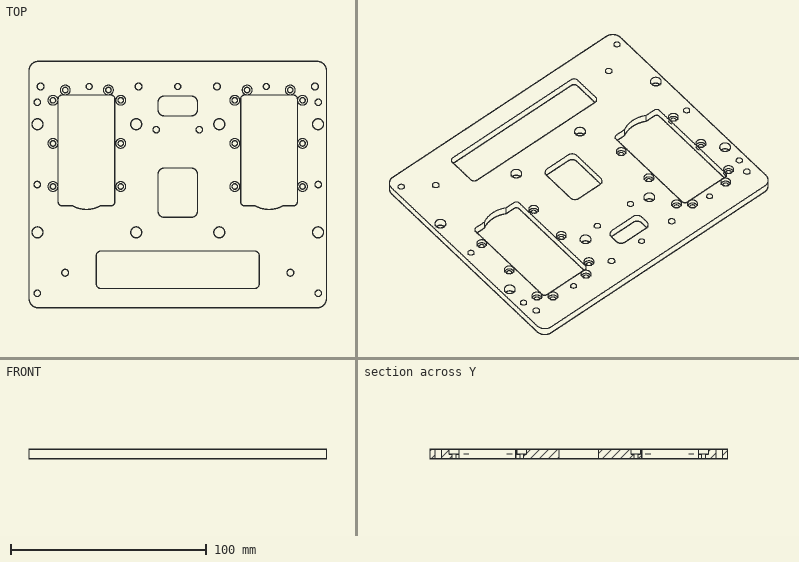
import cadquery as cq

PLATE_X = 152.0
PLATE_Y = 126.0
PLATE_Z = 5.0
PLATE_CORNER_R = 5.0

SMALL_WINDOW = (20.0, 10.0, 40.1, 3.0)
MIDDLE_WINDOW = (20.0, 25.0, -4.15, 3.0)
WIDE_WINDOW = (83.0, 19.0, -43.5, 2.2)

SIDE_X = 46.6
SIDE_WIDTH = 28.8
SIDE_TOP_Y = 45.6
SIDE_BOTTOM_Y = -10.75
SIDE_CORNER_R = 1.8
RELIEF_DEPTH = 1.9
RELIEF_WIDTH = 14.4

SCREW_D = 2.7
SCREW_HEAD_D = 5.0
SCREW_HEAD_DEPTH = 2.5
SCREW_GROUP_X = 46.4
SCREW_PITCH = 22.0
SCREW_COLUMN_OFFSET = 17.3
SCREW_LOWEST_Y = -1.0
SCREW_TOP_ROW_Y = 48.25

MOUNT_D = 5.5
MOUNT_COLUMNS_X = (21.2, 71.6)
MOUNT_ROWS_Y = (-24.4, 30.8)

TOP_ROW_Y = 50.05
TOP_ROW_LARGE_D = 3.4
TOP_ROW_LARGE_X = (20.0, 70.0)
TOP_ROW_SMALL_D = 3.0
TOP_ROW_SMALL_X = 45.2

LOWER_PAIR_D = 3.4
LOWER_PAIR_X = 57.5
LOWER_PAIR_Y = -45.0

EDGE_D = 3.2
EDGE_X = 71.7
EDGE_ROWS_Y = (-55.5, 0.0, 42.0)

INNER_PAIR_D = 3.2
INNER_PAIR_X = 11.0
INNER_PAIR_Y = 28.0


def both_sides(points):
    """Return the points together with their mirror images about X = 0."""
    return [(side * x, y) for side in (-1, 1) for x, y in points]


def rounded_window(width, height, centre_y, corner_r):
    """Through-cutter for a rounded rectangular opening on the centreline."""
    return (
        cq.Workplane("XY")
        .center(0, centre_y)
        .rect(width, height)
        .extrude(PLATE_Z)
        .edges("|Z")
        .fillet(corner_r)
    )


def side_window(centre_x):
    """Through-cutter for a side opening with a shallow arched relief in its lower edge."""
    height = SIDE_TOP_Y - SIDE_BOTTOM_Y
    window = (
        cq.Workplane("XY")
        .center(centre_x, SIDE_BOTTOM_Y + height / 2)
        .rect(SIDE_WIDTH, height)
        .extrude(PLATE_Z)
        .edges("|Z")
        .fillet(SIDE_CORNER_R)
    )
    relief = (
        cq.Workplane("XY")
        .center(centre_x, SIDE_BOTTOM_Y)
        .moveTo(-RELIEF_WIDTH / 2, 0)
        .threePointArc((0, -RELIEF_DEPTH), (RELIEF_WIDTH / 2, 0))
        .close()
        .extrude(PLATE_Z)
    )
    return window.union(relief)


def screw_points():
    """Screw positions on the +X side: two columns of three and a top pair."""
    columns = [
        (SCREW_GROUP_X + side * SCREW_COLUMN_OFFSET, SCREW_LOWEST_Y + row * SCREW_PITCH)
        for side in (-1, 1)
        for row in range(3)
    ]
    top_row = [(SCREW_GROUP_X + side * SCREW_PITCH / 2, SCREW_TOP_ROW_Y) for side in (-1, 1)]
    return columns + top_row


def drill(body, diameter, points):
    """Drill plain holes through the full plate thickness."""
    return body.cut(
        cq.Workplane("XY").pushPoints(points).circle(diameter / 2).extrude(PLATE_Z)
    )


def counterbore(body, points):
    """Drill the screw holes and sink their heads into the top face."""
    heads = (
        cq.Workplane("XY", origin=(0, 0, PLATE_Z - SCREW_HEAD_DEPTH))
        .pushPoints(points)
        .circle(SCREW_HEAD_D / 2)
        .extrude(SCREW_HEAD_DEPTH)
    )
    return drill(body, SCREW_D, points).cut(heads)


plate = (
    cq.Workplane("XY")
    .rect(PLATE_X, PLATE_Y)
    .extrude(PLATE_Z)
    .edges("|Z")
    .fillet(PLATE_CORNER_R)
)

for window_size in (SMALL_WINDOW, MIDDLE_WINDOW, WIDE_WINDOW):
    plate = plate.cut(rounded_window(*window_size))

for side_x in (-SIDE_X, SIDE_X):
    plate = plate.cut(side_window(side_x))

mount_points = [(x, y) for x in MOUNT_COLUMNS_X for y in MOUNT_ROWS_Y]
plate = drill(plate, MOUNT_D, both_sides(mount_points))

top_row_large_points = [(x, TOP_ROW_Y) for x in TOP_ROW_LARGE_X]
plate = drill(plate, TOP_ROW_LARGE_D, both_sides(top_row_large_points))

top_row_small_points = both_sides([(TOP_ROW_SMALL_X, TOP_ROW_Y)]) + [(0, TOP_ROW_Y)]
plate = drill(plate, TOP_ROW_SMALL_D, top_row_small_points)

edge_points = [(EDGE_X, y) for y in EDGE_ROWS_Y]
plate = drill(plate, EDGE_D, both_sides(edge_points))

plate = drill(plate, LOWER_PAIR_D, both_sides([(LOWER_PAIR_X, LOWER_PAIR_Y)]))
plate = drill(plate, INNER_PAIR_D, both_sides([(INNER_PAIR_X, INNER_PAIR_Y)]))

result = counterbore(plate, both_sides(screw_points()))